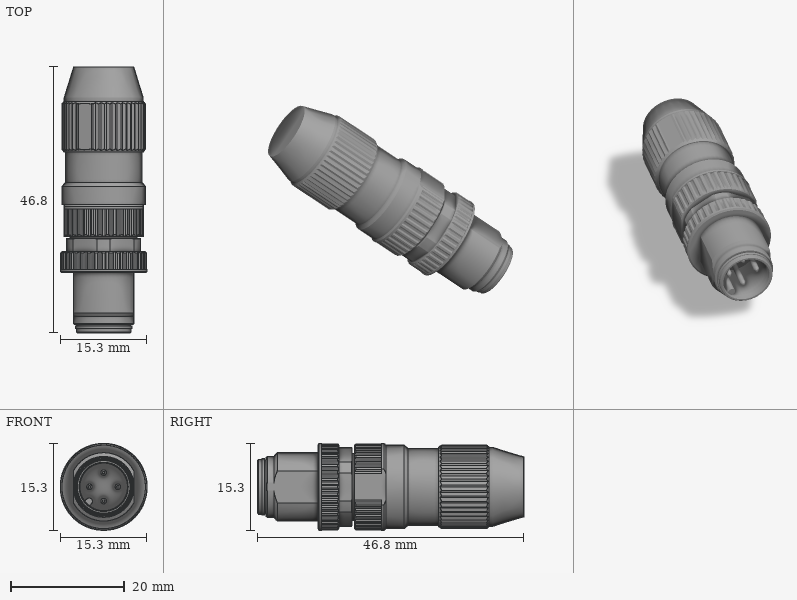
import cadquery as cq
import math

LENGTH = 46.75

TIP_DIAMETER = 9.65
TIP_CHAMFER = 0.2
RIDGE_DIAMETER = 9.95
RIDGE_START = 0.75
RIDGE_END = 1.2
GROOVE_DIAMETER = 9.5
COLLAR_DIAMETER = 10.7
COLLAR_START = 1.5
COLLAR_CHAMFER = 0.2
BARREL_DIAMETER = 12.0
BARREL_TAPER_START = 2.85
BARREL_TAPER_END = 3.45
BARREL_ACROSS_FLATS = 10.6

FLANGE_DIAMETER = 15.3
FLANGE_FACE_DIAMETER = 14.7
RING_START = 10.6
FLANGE_FACE_CHAMFER = 0.2
RING_KNURL_START = 11.15
RING_KNURL_END = 14.3

HEX_ACROSS_FLATS = 13.0
HEX_CORNER_DIAMETER = 13.9
HEX_CHAMFER = 0.15
HEX_END = 16.6
NECK_DIAMETER = 11.8

BODY_KNURL_START = 16.95
BODY_KNURL_END = 21.8
BODY_FLANGE_CHAMFER_START = 22.2
BODY_FLANGE_END = 22.55
BODY_ACROSS_FLATS = 13.95

KNURL_DIAMETER = 15.1
KNURL_ROOT_DIAMETER = 14.7
KNURL_TEETH = 36
KNURL_CREST_SHARE = 0.3
KNURL_ROOT_SHARE = 0.3
KNURL_CHAMFER = 0.3

SLEEVE_DIAMETER = 14.7
SLEEVE_END = 25.7
WAIST_DIAMETER = 13.5
WAIST_START = 26.4

NUT_START = 31.75
NUT_DIAMETER = 14.7
NUT_ROOT_DIAMETER = 14.25
NUT_RIM_DIAMETER = 13.9
NUT_TEETH = 46
NUT_RAMP_SHARE = 0.65
NUT_TEETH_START = 32.35
NUT_TEETH_END = 40.2
NUT_END = 40.65
NUT_FLAT_HALF_ANGLE = 10.2
NUT_FLAT_TILT = 27.5

CONE_START = 41.3
CONE_END_DIAMETER = 10.5

BORE_DIAMETER = 8.35
BORE_DEPTH = 8.4
BORE_CHAMFER = 0.15
PIN_DIAMETER = 1.0
PIN_TIP_DIAMETER = 0.4
PIN_TIP_LENGTH = 0.55
PIN_START = 1.85
PIN_CIRCLE_DIAMETER = 5.0
PIN_COUNT = 4
KEY_WIDTH = 1.15
KEY_CENTER_RADIUS = 3.6
KEY_START = 0.45
KEY_ANGLE = 225.0


def revolved(points):
    """Solid of revolution about Y from (diameter, y) corners, closed along the axis."""
    first_y = points[0][1]
    last_y = points[-1][1]
    outline = [(0, first_y)] + [(diameter / 2, y) for diameter, y in points] + [(0, last_y)]
    return cq.Workplane("XY").polyline(outline).close().revolve(360, (0, 0, 0), (0, 1, 0))


def section(start):
    """Sketch plane across the axis at y = start; its local axes are X and Z."""
    return cq.Workplane("XZ", origin=(0, start, 0))


def polar(radius, degrees):
    """X and Z of a point at an angle measured from +X towards +Z."""
    angle = math.radians(degrees)
    return (radius * math.cos(angle), radius * math.sin(angle))


def toothed_prism(tooth, count, start, end, phase=0.0):
    """Prism whose outline repeats tooth corners (diameter, share of the pitch)."""
    pitch = 360 / count
    outline = []
    for index in range(count):
        for diameter, share in tooth:
            outline.append(polar(diameter / 2, phase + pitch * (index + share)))
    return section(start).polyline(outline).close().extrude(start - end)


def flats(across, start, end):
    """Slab that leaves two flats facing -X and +X."""
    return section(start).rect(across, FLANGE_DIAMETER).extrude(start - end)


def fine_knurl(plain_end, chamfered_end, phase):
    """Knurl of trapezoid teeth whose crests are chamfered at one end."""
    half_crest = KNURL_CREST_SHARE / 2
    half_root = KNURL_ROOT_SHARE / 2
    tooth = [
        (KNURL_DIAMETER, -half_crest),
        (KNURL_DIAMETER, half_crest),
        (KNURL_ROOT_DIAMETER, 0.5 - half_root),
        (KNURL_ROOT_DIAMETER, 0.5 + half_root),
    ]
    chamfer_start = chamfered_end - math.copysign(KNURL_CHAMFER, chamfered_end - plain_end)
    envelope = revolved([
        (KNURL_DIAMETER, plain_end),
        (KNURL_DIAMETER, chamfer_start),
        (KNURL_DIAMETER - 2 * KNURL_CHAMFER, chamfered_end),
    ])
    return toothed_prism(tooth, KNURL_TEETH, plain_end, chamfered_end, phase).intersect(envelope)


def make_mating_end():
    tip_and_collar = revolved([
        (TIP_DIAMETER - 2 * TIP_CHAMFER, 0),
        (TIP_DIAMETER, TIP_CHAMFER),
        (TIP_DIAMETER, RIDGE_START),
        (RIDGE_DIAMETER, RIDGE_START),
        (RIDGE_DIAMETER, RIDGE_END),
        (GROOVE_DIAMETER, RIDGE_END),
        (GROOVE_DIAMETER, COLLAR_START),
        (COLLAR_DIAMETER - 2 * COLLAR_CHAMFER, COLLAR_START),
        (COLLAR_DIAMETER, COLLAR_START + COLLAR_CHAMFER),
        (COLLAR_DIAMETER, BARREL_TAPER_START),
        (BARREL_DIAMETER, BARREL_TAPER_END),
        (BARREL_DIAMETER, RING_START),
    ])
    return tip_and_collar.intersect(flats(BARREL_ACROSS_FLATS, 0, RING_START))


def make_coupling_ring():
    flange = revolved([
        (FLANGE_FACE_DIAMETER, RING_START),
        (FLANGE_DIAMETER, RING_START + FLANGE_FACE_CHAMFER),
        (FLANGE_DIAMETER, RING_KNURL_START),
    ])
    return flange.union(fine_knurl(RING_KNURL_START, RING_KNURL_END, phase=0))


def make_hexagon():
    corners = revolved([
        (HEX_CORNER_DIAMETER, RING_KNURL_END),
        (HEX_CORNER_DIAMETER, HEX_END - HEX_CHAMFER),
        (HEX_CORNER_DIAMETER - 2 * HEX_CHAMFER, HEX_END),
    ])
    corner_to_corner = HEX_ACROSS_FLATS / math.cos(math.pi / 6)
    prism = toothed_prism([(corner_to_corner, 0.5)], 6, RING_KNURL_END, HEX_END)
    neck = revolved([(NECK_DIAMETER, HEX_END), (NECK_DIAMETER, BODY_KNURL_START)])
    return corners.intersect(prism).union(neck)


def make_knurled_body():
    flange = revolved([
        (FLANGE_DIAMETER, BODY_KNURL_END),
        (FLANGE_DIAMETER, BODY_FLANGE_CHAMFER_START),
        (SLEEVE_DIAMETER, BODY_FLANGE_END),
    ])
    half_pitch = 180 / KNURL_TEETH
    body = fine_knurl(BODY_KNURL_END, BODY_KNURL_START, phase=half_pitch).union(flange)
    return body.intersect(flats(BODY_ACROSS_FLATS, BODY_KNURL_START, BODY_FLANGE_END))


def make_sleeve():
    return revolved([
        (SLEEVE_DIAMETER, BODY_FLANGE_END),
        (SLEEVE_DIAMETER, SLEEVE_END),
        (WAIST_DIAMETER, WAIST_START),
        (WAIST_DIAMETER, NUT_START),
    ])


def make_nut_teeth():
    """Saw-shaped teeth, mirrored about the flat so that their steep sides face away from it."""
    pitch = 360 / NUT_TEETH
    flat_center = 90 + NUT_FLAT_TILT
    outline = []
    for index in range(NUT_TEETH // 2):
        outline.append(polar(NUT_ROOT_DIAMETER / 2, flat_center + pitch * index))
        outline.append(polar(NUT_DIAMETER / 2, flat_center + pitch * (index + NUT_RAMP_SHARE)))
    for index in range(NUT_TEETH // 2, 0, -1):
        outline.append(polar(NUT_ROOT_DIAMETER / 2, flat_center - pitch * index))
        outline.append(polar(NUT_DIAMETER / 2, flat_center - pitch * (index - 1 + NUT_RAMP_SHARE)))
    return section(NUT_START).polyline(outline).close().extrude(NUT_START - NUT_END)


def make_nut():
    envelope = revolved([
        (NUT_RIM_DIAMETER, NUT_START),
        (NUT_DIAMETER, NUT_TEETH_START),
        (NUT_DIAMETER, NUT_TEETH_END),
        (NUT_RIM_DIAMETER, NUT_END),
    ])
    crest_radius = NUT_DIAMETER / 2
    flat_distance = crest_radius * math.cos(math.radians(NUT_FLAT_HALF_ANGLE))
    flat_center = 90 + NUT_FLAT_TILT
    sector = [
        (0, 0),
        polar(crest_radius, flat_center - NUT_FLAT_HALF_ANGLE),
        polar(crest_radius, flat_center + NUT_FLAT_HALF_ANGLE),
    ]
    flat = section(NUT_START).polyline(sector).close().extrude(NUT_START - NUT_END)
    beyond_flat = (
        section(NUT_START)
        .center(*polar(flat_distance + crest_radius, flat_center))
        .transformed(rotate=(0, 0, flat_center))
        .rect(NUT_DIAMETER, NUT_DIAMETER)
        .extrude(NUT_START - NUT_END)
    )
    return make_nut_teeth().union(flat).cut(beyond_flat).intersect(envelope)


def make_cable_end():
    return revolved([
        (NUT_RIM_DIAMETER, NUT_END),
        (NUT_RIM_DIAMETER, CONE_START),
        (CONE_END_DIAMETER, LENGTH),
    ])


def make_bore():
    return revolved([
        (BORE_DIAMETER + 2 * BORE_CHAMFER, 0),
        (BORE_DIAMETER, BORE_CHAMFER),
        (BORE_DIAMETER, BORE_DEPTH),
    ])


def make_pins():
    pin = revolved([
        (PIN_TIP_DIAMETER, PIN_START),
        (PIN_DIAMETER, PIN_START + PIN_TIP_LENGTH),
        (PIN_DIAMETER, BORE_DEPTH),
    ])
    pins = cq.Workplane("XY")
    for index in range(PIN_COUNT):
        x, z = polar(PIN_CIRCLE_DIAMETER / 2, index * 360 / PIN_COUNT)
        pins = pins.add(pin.translate((x, 0, z)))
    return pins.combine()


def make_key():
    """Polarizing key: a bar with a round inner edge, reaching out into the bore wall."""
    wall_radius = (BORE_DIAMETER + TIP_DIAMETER) / 4
    half_width = KEY_WIDTH / 2
    key = (
        section(KEY_START)
        .moveTo(wall_radius, -half_width)
        .lineTo(wall_radius, half_width)
        .lineTo(KEY_CENTER_RADIUS, half_width)
        .threePointArc((KEY_CENTER_RADIUS - half_width, 0), (KEY_CENTER_RADIUS, -half_width))
        .close()
        .extrude(KEY_START - BORE_DEPTH)
    )
    return key.rotate((0, 0, 0), (0, 1, 0), -KEY_ANGLE)


result = (
    make_mating_end()
    .union(make_coupling_ring())
    .union(make_hexagon())
    .union(make_knurled_body())
    .union(make_sleeve())
    .union(make_nut())
    .union(make_cable_end())
    .cut(make_bore())
    .union(make_pins())
    .union(make_key())
)